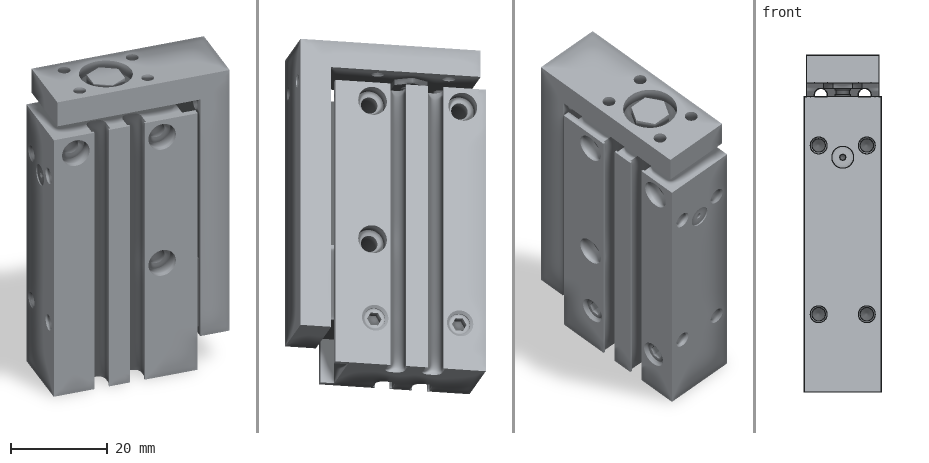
import cadquery as cq
import math


TOTAL_HEIGHT = 69.5
TOTAL_DEPTH = 39.0
BODY_WIDTH = 16.0
BODY_DEPTH = 31.75
BODY_HEIGHT = 60.95
HALF_BODY = BODY_WIDTH / 2

TABLE_WIDTH = 15.0
PLATE_THICKNESS = 5.7
PLATE_FRONT = 1.0
LEG_THICKNESS = 6.45
LEG_BOTTOM = 7.6
LEG_INNER = TOTAL_DEPTH - LEG_THICKNESS
PLATE_BOTTOM = TOTAL_HEIGHT - PLATE_THICKNESS
TABLE_HOLE = 2.65
TABLE_HOLE_SPACING_X = 9.05
TABLE_HOLE_SPACING_Y = 15.0
LEG_HOLE_DROP = 8.2

ROD_Y = 14.5
ROD_DIAMETER = 3.3
NECK_DIAMETER = 2.7
NECK_BOTTOM = 61.4
NECK_TOP = 62.35
NUT_BOTTOM = 62.6
NUT_FLATS = 6.95
NUT_RECESS_DIAMETER = 11.1
NUT_RECESS_DEPTH = 2.6
NUT_TOP_DROP = 0.55

GROOVE_MOUTH_WIDTH = 3.3
GROOVE_LIP_DEPTH = 0.5
GROOVE_LIP_OVERHANG = 0.4
GROOVE_DEPTH = 4.7
GROOVE_RADIUS = 1.6
GROOVE_SPACING = 7.85

CHANNEL_WIDTH = 13.2
CHANNEL_DEPTH = 2.9
SLIDER_BOTTOM = 9.45
SLIDER_TOP = 25.6

MOUNT_HOLE = 3.5
MOUNT_COUNTERBORE = 6.05
MOUNT_COUNTERBORE_DEPTH = 3.3
MOUNT_BACK_Y = 23.9
MOUNT_FRONT_Y = 4.85
MOUNT_TOP_Z = 56.9
MOUNT_MIDDLE_Z = 27.0
MOUNT_PLACES = [
    (MOUNT_BACK_Y, MOUNT_TOP_Z),
    (MOUNT_FRONT_Y, MOUNT_TOP_Z),
    (MOUNT_BACK_Y, MOUNT_MIDDLE_Z),
]

PLUG_Z = 10.0
PLUG_SPACING = 17.9
PLUG_RIM = 5.55
PLUG_FACE = 4.45
PLUG_RIM_DEPTH = 0.55
PLUG_STEP_DEPTH = 0.3
SOCKET_FLATS = 2.65
SOCKET_DEPTH = 2.1

TAP_SPACING = 9.95
TAP_LEVELS = (16.05, 50.9)
TAP_DIAMETER = 2.8
TAP_RIM = 3.5
TAP_DEPTH = 4.2
DRILL_TIP_ANGLE = 118.0
PORT_Z = 48.45
PORT_DIAMETER = 4.5
PORT_DEPTH = 0.3
PORT_BORE = 1.25
PORT_BORE_DEPTH = 1.4


def cylinder(diameter, length, start, direction):
    return cq.Workplane(obj=cq.Solid.makeCylinder(
        diameter / 2, length, cq.Vector(*start), cq.Vector(*direction)))


def cone(start_diameter, end_diameter, length, start, direction):
    return cq.Workplane(obj=cq.Solid.makeCone(
        start_diameter / 2, end_diameter / 2, length, cq.Vector(*start), cq.Vector(*direction)))


def box(x_size, y_range, z_range):
    """Block centred on X, spanning the given Y and Z ranges."""
    return (
        cq.Workplane("XY")
        .box(x_size, y_range[1] - y_range[0], z_range[1] - z_range[0], centered=(True, False, False))
        .translate((0, y_range[0], z_range[0]))
    )


def hexagon_corners(flats):
    """Diameter over the corners of a hexagon with the given width across flats."""
    return flats / math.cos(math.pi / 6)


def groove(side, y):
    """Full-height groove in the -X or +X side: narrow mouth, wider inside, round-cornered floor."""
    inner_width = GROOVE_MOUTH_WIDTH + 2 * GROOVE_LIP_OVERHANG
    floor_x = side * (HALF_BODY - GROOVE_DEPTH)
    lip_x = side * (HALF_BODY - GROOVE_LIP_DEPTH)
    floor_edges = "<X" if side > 0 else ">X"
    chamber = (
        cq.Workplane("XY")
        .center((floor_x + lip_x) / 2, y)
        .rect(GROOVE_DEPTH - GROOVE_LIP_DEPTH, inner_width)
        .extrude(BODY_HEIGHT)
        .edges("|Z and " + floor_edges)
        .fillet(GROOVE_RADIUS)
    )
    mouth = (
        cq.Workplane("XY")
        .center((side * HALF_BODY + lip_x) / 2, y)
        .rect(GROOVE_LIP_DEPTH, GROOVE_MOUTH_WIDTH)
        .extrude(BODY_HEIGHT)
    )
    return chamber.union(mouth)


def mount_hole(y, z):
    """Through hole along X with a counterbore at each side."""
    across = (1, 0, 0)
    hole = cylinder(MOUNT_HOLE, BODY_WIDTH, (-HALF_BODY, y, z), across)
    for x in (-HALF_BODY, HALF_BODY - MOUNT_COUNTERBORE_DEPTH):
        hole = hole.union(cylinder(MOUNT_COUNTERBORE, MOUNT_COUNTERBORE_DEPTH, (x, y, z), across))
    return hole


def socket_plug(y):
    """Conical rim, sunk face and hexagonal socket of a plug in the -X side."""
    face_depth = PLUG_RIM_DEPTH + PLUG_STEP_DEPTH
    rim = cone(PLUG_RIM, PLUG_FACE, PLUG_RIM_DEPTH, (-HALF_BODY, y, PLUG_Z), (1, 0, 0))
    step = cylinder(PLUG_FACE, face_depth, (-HALF_BODY, y, PLUG_Z), (1, 0, 0))
    socket = (
        cq.Workplane("YZ", origin=(-HALF_BODY, y, PLUG_Z))
        .polygon(6, hexagon_corners(SOCKET_FLATS))
        .extrude(face_depth + SOCKET_DEPTH)
    )
    return rim.union(step).union(socket)


def drilled_hole(diameter, depth, x, z):
    """Blind hole from the front, ending in a drill point beyond the given depth."""
    inward = (0, 1, 0)
    tip_length = diameter / 2 / math.tan(math.radians(DRILL_TIP_ANGLE / 2))
    tip = cone(diameter, 0, tip_length, (x, depth, z), inward)
    return cylinder(diameter, depth, (x, 0, z), inward).union(tip)


def tapped_hole(x, z):
    """Drilled hole with a 45-degree countersunk mouth."""
    mouth_depth = (TAP_RIM - TAP_DIAMETER) / 2
    mouth = cone(TAP_RIM, TAP_DIAMETER, mouth_depth, (x, 0, z), (0, 1, 0))
    return drilled_hole(TAP_DIAMETER, TAP_DEPTH, x, z).union(mouth)


def make_body():
    body = box(BODY_WIDTH, (0, BODY_DEPTH), (0, BODY_HEIGHT))
    body = body.cut(box(CHANNEL_WIDTH, (BODY_DEPTH - CHANNEL_DEPTH, BODY_DEPTH), (0, BODY_HEIGHT)))
    for side in (-1, 1):
        for y in (ROD_Y - GROOVE_SPACING / 2, ROD_Y + GROOVE_SPACING / 2):
            body = body.cut(groove(side, y))
    for y, z in MOUNT_PLACES:
        body = body.cut(mount_hole(y, z))
    plug_middle_y = (MOUNT_BACK_Y + MOUNT_FRONT_Y) / 2
    for y in (plug_middle_y - PLUG_SPACING / 2, plug_middle_y + PLUG_SPACING / 2):
        body = body.cut(socket_plug(y))
    for z in TAP_LEVELS:
        for x in (-TAP_SPACING / 2, TAP_SPACING / 2):
            body = body.cut(tapped_hole(x, z))
    body = body.cut(cylinder(PORT_DIAMETER, PORT_DEPTH, (0, 0, PORT_Z), (0, 1, 0)))
    return body.cut(drilled_hole(PORT_BORE, PORT_DEPTH + PORT_BORE_DEPTH, 0, PORT_Z))


def make_table():
    plate = box(TABLE_WIDTH, (PLATE_FRONT, TOTAL_DEPTH), (PLATE_BOTTOM, TOTAL_HEIGHT))
    leg = box(TABLE_WIDTH, (LEG_INNER, TOTAL_DEPTH), (LEG_BOTTOM, TOTAL_HEIGHT))
    table = plate.union(leg)
    recess_floor = TOTAL_HEIGHT - NUT_RECESS_DEPTH
    table = table.cut(
        cylinder(NUT_RECESS_DIAMETER, NUT_RECESS_DEPTH, (0, ROD_Y, recess_floor), (0, 0, 1)))
    for x in (-TABLE_HOLE_SPACING_X / 2, TABLE_HOLE_SPACING_X / 2):
        for y in (ROD_Y - TABLE_HOLE_SPACING_Y / 2, ROD_Y + TABLE_HOLE_SPACING_Y / 2):
            table = table.cut(cylinder(TABLE_HOLE, PLATE_THICKNESS, (x, y, PLATE_BOTTOM), (0, 0, 1)))
        leg_hole_z = TOTAL_HEIGHT - LEG_HOLE_DROP
        table = table.cut(cylinder(TABLE_HOLE, LEG_THICKNESS, (x, LEG_INNER, leg_hole_z), (0, 1, 0)))
    return table


def make_rod():
    """Rod end with a turned neck, carrying the hexagonal nut that clamps the plate."""
    up = (0, 0, 1)
    lower = cylinder(ROD_DIAMETER, NECK_BOTTOM - BODY_HEIGHT, (0, ROD_Y, BODY_HEIGHT), up)
    neck = cylinder(NECK_DIAMETER, NECK_TOP - NECK_BOTTOM, (0, ROD_Y, NECK_BOTTOM), up)
    upper = cylinder(ROD_DIAMETER, NUT_BOTTOM - NECK_TOP, (0, ROD_Y, NECK_TOP), up)
    nut = (
        cq.Workplane("XY", origin=(0, ROD_Y, NUT_BOTTOM))
        .polygon(6, hexagon_corners(NUT_FLATS))
        .extrude(TOTAL_HEIGHT - NUT_TOP_DROP - NUT_BOTTOM)
    )
    return lower.union(neck).union(upper).union(nut)


slider = box(CHANNEL_WIDTH, (BODY_DEPTH - CHANNEL_DEPTH, LEG_INNER), (SLIDER_BOTTOM, SLIDER_TOP))

result = make_body().union(slider).union(make_table()).union(make_rod())